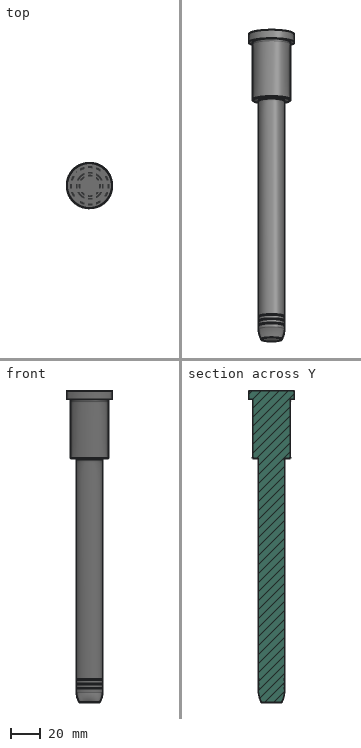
import cadquery as cq

length = 211.0
head_radius = 31.0 / 2
head_height = 6.0
collar_radius = 26.0 / 2
collar_bottom = 165.0
shaft_radius = 18.1 / 2

head_chamfer = 0.5
collar_chamfer = 0.6
head_relief_width = 1.3
collar_relief_width = 0.6
relief_depth = 0.1

nose_height = 7.2
nose_tip_radius = 7.2
nose_mid_radius = 8.5
tip_chamfer = 0.5
ring_count = 3
ring_pitch = 3.0
first_ring_height = 9.7
ring_width = 0.8
ring_depth = 0.5

head_bottom = length - head_height


def revolved_body():
    """Head, collar, shaft and convex nose from one half profile."""
    relief_bottom = head_bottom - head_relief_width
    shaft_top = collar_bottom - collar_relief_width
    return (
        cq.Workplane("XZ")
        .lineTo(nose_tip_radius - tip_chamfer, 0)
        .lineTo(nose_tip_radius, tip_chamfer)
        .threePointArc((nose_mid_radius, nose_height / 2), (shaft_radius, nose_height))
        .lineTo(shaft_radius, shaft_top)
        .lineTo(shaft_radius - relief_depth, shaft_top)
        .lineTo(shaft_radius - relief_depth, collar_bottom)
        .lineTo(collar_radius - collar_chamfer, collar_bottom)
        .lineTo(collar_radius, collar_bottom + collar_chamfer)
        .lineTo(collar_radius, relief_bottom)
        .lineTo(collar_radius - relief_depth, head_bottom - head_relief_width / 2)
        .lineTo(collar_radius - relief_depth, head_bottom)
        .lineTo(head_radius, head_bottom)
        .lineTo(head_radius, length - head_chamfer)
        .lineTo(head_radius - head_chamfer, length)
        .lineTo(0, length)
        .close()
        .revolve(360, (0, 0, 0), (0, 1, 0))
    )


def ring_cutter(height):
    """Ring that cuts one V groove around the shaft, centred on the given height."""
    return (
        cq.Workplane("XZ")
        .moveTo(shaft_radius - ring_depth, height)
        .lineTo(shaft_radius + ring_depth, height + ring_width)
        .lineTo(shaft_radius + ring_depth, height - ring_width)
        .close()
        .revolve(360, (0, 0, 0), (0, 1, 0))
    )


result = revolved_body()
for ring in range(ring_count):
    result = result.cut(ring_cutter(first_ring_height + ring * ring_pitch))